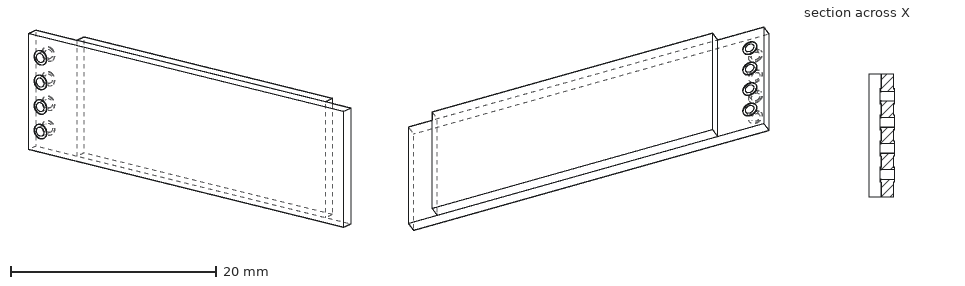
import cadquery as cq

board_length = 38.0
board_height = 12.0
board_thickness = 1.2

pad_count = 4
pad_pitch = 2.55
pad_diameter = 1.5
hole_diameter = 0.9
pad_thickness = 0.1
pad_row_x = 1.5

panel_start_x = 4.95
panel_length = 30.0
overall_depth = 2.5
panel_thickness = overall_depth - board_thickness - pad_thickness


def cylinder_along_y(diameter, x, z, start_y, end_y):
    """Round bar parallel to Y between two Y positions."""
    return cq.Workplane(
        cq.Solid.makeCylinder(
            diameter / 2,
            end_y - start_y,
            cq.Vector(x, start_y, z),
            cq.Vector(0, 1, 0),
        )
    )


def make_board():
    """Board with its solder pads and the holes drilled through them."""
    board = cq.Workplane("XY").box(board_length, board_thickness, board_height, centered=False)
    front_y = -pad_thickness
    rear_y = board_thickness + pad_thickness
    first_pad_z = (board_height - (pad_count - 1) * pad_pitch) / 2
    for index in range(pad_count):
        z = first_pad_z + index * pad_pitch
        pad = cylinder_along_y(pad_diameter, pad_row_x, z, front_y, rear_y)
        hole = cylinder_along_y(hole_diameter, pad_row_x, z, front_y, rear_y)
        board = board.union(pad).cut(hole)
    return board


def make_panel():
    """Plain display panel seated on the rear face of the board."""
    panel = cq.Workplane("XY").box(panel_length, panel_thickness, board_height, centered=False)
    return panel.translate((panel_start_x, board_thickness, 0))


board = make_board()
panel = make_panel()

result = cq.Compound.makeCompound([board.solids().val(), panel.val()])